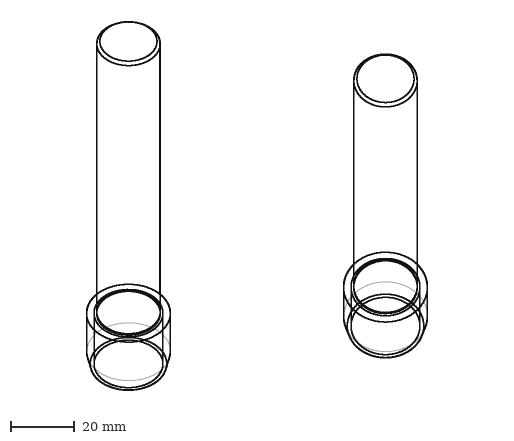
import cadquery as cq
import math

total_length = 140.0
shank_radius = 10.0
tip_chamfer = 1.0
root_radius = 10.85

collar_radius = 26.44 / 2
collar_rim_height = 22.0
taper_height = 5.4
taper_end_radius = 12.05

cone_angle = 10.5
cone_rise = (collar_radius - shank_radius) * math.tan(math.radians(cone_angle))
collar_top_height = collar_rim_height + cone_rise

root_height = collar_rim_height


def revolve_about_z(profile_points):
    """Turn a closed (radius, height) outline around the Z axis."""
    outline = cq.Workplane("XZ").polyline(profile_points).close()
    return outline.revolve(360, (0, 0, 0), (0, 1, 0))


def make_pin():
    """Round pin with a chamfered tip and a wider root with a flat shoulder."""
    return revolve_about_z([
        (0, 0),
        (root_radius, 0),
        (root_radius, root_height),
        (shank_radius, root_height),
        (shank_radius, total_length - tip_chamfer),
        (shank_radius - tip_chamfer, total_length),
        (0, total_length),
    ])


def make_collar():
    """Collar bored to fit the root and the shank, with a conical top and a tapered lower end."""
    return revolve_about_z([
        (root_radius, 0),
        (taper_end_radius, 0),
        (collar_radius, taper_height),
        (collar_radius, collar_rim_height),
        (shank_radius, collar_top_height),
        (shank_radius, root_height),
        (root_radius, root_height),
    ])


pin = make_pin()
collar = make_collar()
result = cq.Compound.makeCompound([pin.val(), collar.val()])